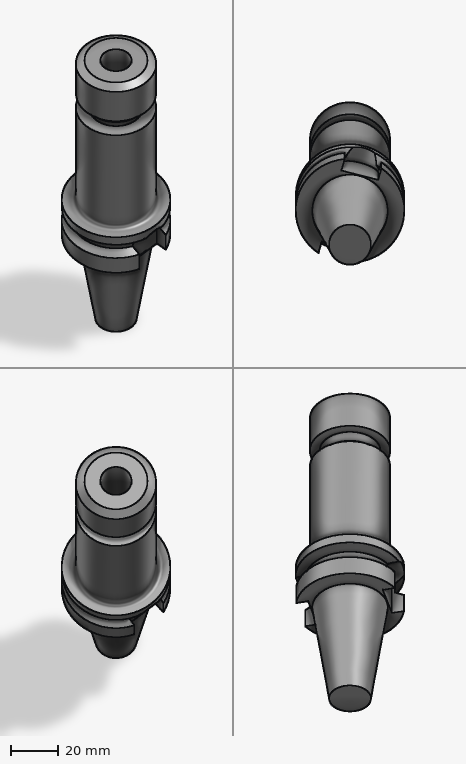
import cadquery as cq
import math

total_length = 153.4

taper_length = 48.5
taper_radius = 16.0
taper_small_radius = taper_radius - taper_length * 7 / 24 / 2

flange_radius = 23.0
flange_bottom = 49.4
flange_top = 70.5
groove_radius = 19.3
groove_lower_edge = 58.1
groove_upper_edge = 66.1
groove_slope = math.radians(30)
groove_slope_height = (flange_radius - groove_radius) * math.tan(groove_slope)

body_radius = 17.0
body_top = 125.5
body_fillet = 2.9

neck_radius = 11.5
neck_top = 128.2
ring_radius = 12.9
ring_bottom = 129.2

nut_radius = body_radius
nut_bottom = 133.9
nut_bevel_bottom = 151.4
nut_face_radius = 13.3

bore_radius = 6.6
bore_depth = 30.7

slot_width = 16.1
slot_top = 67.6
slot_floor = 16.3


def holder_body():
    """Revolve the half outline of the holder about Z."""
    fillet_offset = body_fillet * (1 - math.sqrt(0.5))
    return (
        cq.Workplane("XZ")
        .moveTo(0, 0)
        .lineTo(taper_small_radius, 0)
        .lineTo(taper_radius, taper_length)
        .lineTo(taper_radius, flange_bottom)
        .lineTo(flange_radius, flange_bottom)
        .lineTo(flange_radius, groove_lower_edge)
        .lineTo(groove_radius, groove_lower_edge + groove_slope_height)
        .lineTo(groove_radius, groove_upper_edge - groove_slope_height)
        .lineTo(flange_radius, groove_upper_edge)
        .lineTo(flange_radius, flange_top)
        .lineTo(body_radius + body_fillet, flange_top)
        .threePointArc(
            (body_radius + fillet_offset, flange_top + fillet_offset),
            (body_radius, flange_top + body_fillet),
        )
        .lineTo(body_radius, body_top)
        .lineTo(neck_radius, body_top)
        .lineTo(neck_radius, neck_top)
        .lineTo(ring_radius, ring_bottom)
        .lineTo(ring_radius, nut_bottom)
        .lineTo(nut_radius, nut_bottom)
        .lineTo(nut_radius, nut_bevel_bottom)
        .lineTo(nut_face_radius, total_length)
        .lineTo(0, total_length)
        .close()
        .revolve(360, (0, 0), (0, 1))
    )


def tool_bore():
    """Cylinder running down from the nut face."""
    return (
        cq.Workplane("XY")
        .workplane(offset=total_length - bore_depth)
        .circle(bore_radius)
        .extrude(bore_depth)
    )


def drive_slot():
    """Cutter for the slot on the +X side."""
    half_width = slot_width / 2
    arc_center = slot_top - half_width
    return (
        cq.Workplane("YZ")
        .workplane(offset=slot_floor)
        .moveTo(-half_width, flange_bottom)
        .lineTo(half_width, flange_bottom)
        .lineTo(half_width, arc_center)
        .threePointArc((0, slot_top), (-half_width, arc_center))
        .close()
        .extrude(flange_radius - slot_floor)
    )


result = holder_body().cut(tool_bore())
for angle in (0, 180):
    result = result.cut(drive_slot().rotate((0, 0, 0), (0, 0, 1), angle))